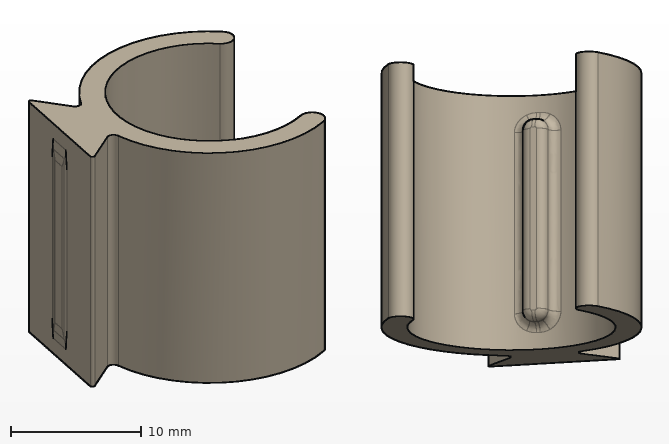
import cadquery as cq
import math

height = 20.0
bore_radius = 8.0
wall = 2.0
outer_radius = bore_radius + wall
tip_radius = wall / 2
tip_y = 5.0
mid_radius = bore_radius + tip_radius
tip_x = math.sqrt(mid_radius**2 - tip_y**2)

foot_y = -13.0
foot_half_width = 5.5
dovetail_top_y = -9.0
dovetail_top_half_width = foot_half_width - (dovetail_top_y - foot_y)
foot_corner_radius = 0.2
neck_fillet_radius = 0.5

rib_end_gap = 1.34
rib_bottom_z = rib_end_gap
rib_top_z = height - rib_end_gap
root_overlap = 0.5

inner_rib_half_width = 1.0
inner_rib_crest_y = -6.5
inner_rib_round = 0.87
inner_rib_crest_round = 0.75
inner_rib_foot_fillet = 0.7
inner_rib_bottom_z = rib_bottom_z + inner_rib_foot_fillet
inner_rib_top_z = rib_top_z - inner_rib_foot_fillet
select_margin = 0.05
foot_select_height = 0.2

outer_rib_height = 0.1
outer_rib_half_width = 1.2
outer_rib_end_half_width = 1.05
outer_rib_crest_half_width = 0.71
outer_rib_ramp_length = 0.8
outer_rib_round_length = 0.8
outer_rib_taper_length = outer_rib_ramp_length + outer_rib_round_length
outer_rib_flank_round = 1.35


def polar(radius, angle):
    return (radius * math.cos(angle), radius * math.sin(angle))


def make_ring():
    tip_angle = math.atan2(tip_y, tip_x)
    left_angle = math.pi - tip_angle
    bottom_angle = -math.pi / 2
    right_tip = (tip_x - tip_radius * math.sin(tip_angle), tip_y + tip_radius * math.cos(tip_angle))
    left_tip = (-right_tip[0], right_tip[1])
    return (
        cq.Workplane("XY")
        .moveTo(*polar(outer_radius, tip_angle))
        .threePointArc(right_tip, polar(bore_radius, tip_angle))
        .threePointArc(polar(bore_radius, bottom_angle), polar(bore_radius, left_angle))
        .threePointArc(left_tip, polar(outer_radius, left_angle))
        .threePointArc(polar(outer_radius, bottom_angle), polar(outer_radius, tip_angle))
        .close()
        .extrude(height)
    )


def make_dovetail():
    return (
        cq.Workplane("XY")
        .polyline([
            (-foot_half_width, foot_y),
            (foot_half_width, foot_y),
            (dovetail_top_half_width, dovetail_top_y),
            (-dovetail_top_half_width, dovetail_top_y),
        ])
        .close()
        .extrude(height)
        .edges("|Z and <Y")
        .fillet(foot_corner_radius)
    )


def round_neck(body):
    reach = -foot_y - foot_half_width
    neck_x = (-reach + math.sqrt(2 * outer_radius**2 - reach**2)) / 2
    neck_y = -reach - neck_x
    for side in (-1, 1):
        neck_edge = cq.selectors.NearestToPointSelector((side * neck_x, neck_y, height / 2))
        body = body.edges(neck_edge).fillet(neck_fillet_radius)
    return body


def add_inner_rib(body):
    root_y = -bore_radius - root_overlap
    rib = (
        cq.Workplane("XY")
        .box(
            2 * inner_rib_half_width,
            inner_rib_crest_y - root_y,
            inner_rib_top_z - inner_rib_bottom_z,
            centered=(True, False, False),
        )
        .translate((0, root_y, inner_rib_bottom_z))
        .edges("|Y")
        .fillet(inner_rib_round)
        .faces(">Y")
        .edges()
        .fillet(inner_rib_crest_round)
    )
    body = body.union(rib)
    box_x = inner_rib_half_width + select_margin
    box_bottom = (-box_x, -bore_radius - select_margin, inner_rib_bottom_z - select_margin)
    box_top = (box_x, -bore_radius + foot_select_height, inner_rib_top_z + select_margin)
    foot_edges = cq.selectors.BoxSelector(box_bottom, box_top)
    return body.edges(foot_edges).fillet(inner_rib_foot_fillet)


def make_outer_rib():
    root_y = foot_y + root_overlap
    crest_y = foot_y - outer_rib_height
    section = (
        cq.Workplane("XY")
        .polyline([
            (-outer_rib_half_width, root_y),
            (-outer_rib_half_width, foot_y),
            (-outer_rib_crest_half_width, crest_y),
            (outer_rib_crest_half_width, crest_y),
            (outer_rib_half_width, foot_y),
            (outer_rib_half_width, root_y),
        ])
        .close()
        .extrude(height)
        .edges("|Z and <Y")
        .fillet(outer_rib_flank_round)
    )
    ramp_fraction = outer_rib_ramp_length / (outer_rib_ramp_length + outer_rib_round_length / 2)
    ramp_end_y = foot_y - outer_rib_height * ramp_fraction
    side_profile = (
        cq.Workplane("YZ")
        .moveTo(root_y, rib_bottom_z)
        .lineTo(foot_y, rib_bottom_z)
        .lineTo(ramp_end_y, rib_bottom_z + outer_rib_ramp_length)
        .tangentArcPoint((crest_y, rib_bottom_z + outer_rib_taper_length), relative=False)
        .lineTo(crest_y, rib_top_z - outer_rib_taper_length)
        .tangentArcPoint((ramp_end_y, rib_top_z - outer_rib_ramp_length), relative=False)
        .lineTo(foot_y, rib_top_z)
        .lineTo(root_y, rib_top_z)
        .close()
        .extrude(outer_rib_half_width, both=True)
    )
    outline = (
        cq.Workplane("XZ", origin=(0, root_y, 0))
        .polyline([
            (-outer_rib_end_half_width, rib_bottom_z),
            (outer_rib_end_half_width, rib_bottom_z),
            (outer_rib_half_width, rib_bottom_z + outer_rib_taper_length),
            (outer_rib_half_width, rib_top_z - outer_rib_taper_length),
            (outer_rib_end_half_width, rib_top_z),
            (-outer_rib_end_half_width, rib_top_z),
            (-outer_rib_half_width, rib_top_z - outer_rib_taper_length),
            (-outer_rib_half_width, rib_bottom_z + outer_rib_taper_length),
        ])
        .close()
        .extrude(root_overlap + outer_rib_height)
    )
    return section.intersect(side_profile).intersect(outline)


body = round_neck(make_ring().union(make_dovetail()))
result = add_inner_rib(body).union(make_outer_rib())